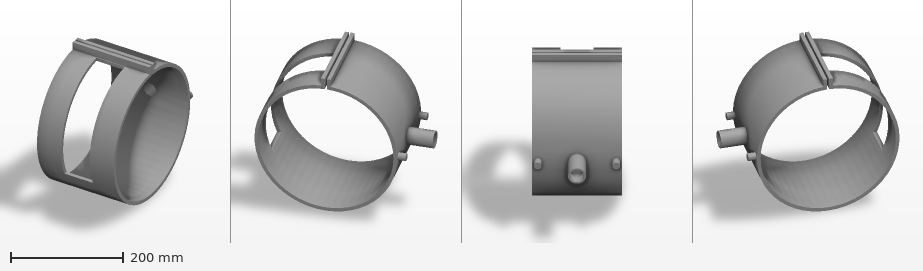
import cadquery as cq

width = 160.0
outer_radius = 132.0
wall = 7.0
inner_radius = outer_radius - wall

gap = 3.7
lug_thickness = 7.2
lug_top = 146.5
lug_face = gap / 2 + lug_thickness

window_width = 59.3
window_bottom = -53.3
window_ledge = 1.0

pipe_diameter = 32.0
bore_diameter = 26.0
pipe_end = 180.0
pin_diameter = 14.0
pin_end = 146.5
pin_offset = 70.0


def x_cylinder(radius):
    """Cylinder along X, centred on the origin."""
    return cq.Workplane("YZ").circle(radius).extrude(width).translate((-width / 2, 0, 0))


def y_cylinder(diameter, end, x=0):
    """Cylinder from the ring axis to the given Y position."""
    return cq.Workplane("XZ").center(x, 0).circle(diameter / 2).extrude(-end)


def upright_block(length, y_min, y_max, z_min, z_max):
    """Block centred in X and bounded in Y and Z."""
    block = cq.Workplane("XY").box(length, y_max - y_min, z_max - z_min, centered=(True, False, False))
    return block.translate((0, y_min, z_min))


body = x_cylinder(outer_radius)
body = body.union(upright_block(width, -lug_face, lug_face, 0, lug_top))
body = body.union(y_cylinder(pipe_diameter, pipe_end))
for pin_x in (-pin_offset, pin_offset):
    body = body.union(y_cylinder(pin_diameter, pin_end, pin_x))

body = body.cut(x_cylinder(inner_radius))
body = body.cut(upright_block(width, -gap / 2, gap / 2, 0, lug_top))
body = body.cut(y_cylinder(bore_diameter, pipe_end))

window_face = lug_face + window_ledge
window = upright_block(window_width, -outer_radius, -window_face, window_bottom, lug_top)
result = body.cut(window).clean()